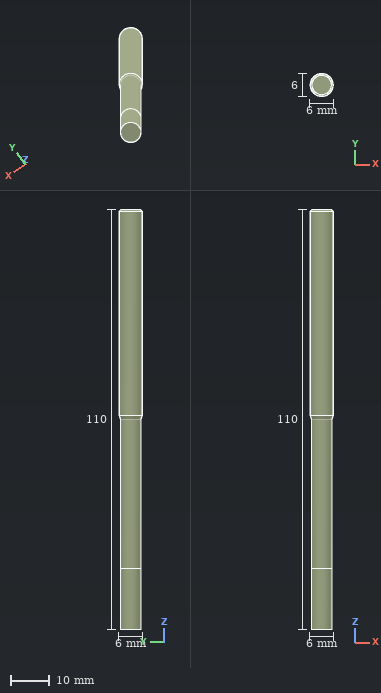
import cadquery as cq

total_length = 110.0
shank_diameter = 6.0
neck_diameter = 5.4
tip_diameter = 5.4
shank_base_z = 55.0
tip_length = 16.1
top_chamfer = 0.5
base_taper_height = 1.0

shank_radius = shank_diameter / 2
neck_radius = neck_diameter / 2
shank_top_radius = shank_radius - top_chamfer


def make_holder():
    """Stepped round bar: a neck below a thicker shank, joined by a short taper, with a chamfered top."""
    half_profile = (
        cq.Workplane("XZ")
        .moveTo(0, tip_length)
        .lineTo(neck_radius, tip_length)
        .lineTo(neck_radius, shank_base_z)
        .lineTo(shank_radius, shank_base_z + base_taper_height)
        .lineTo(shank_radius, total_length - top_chamfer)
        .lineTo(shank_top_radius, total_length)
        .lineTo(0, total_length)
        .close()
    )
    return half_profile.revolve(360, (0, 0, 0), (0, 1, 0))


def make_tip():
    """Plain round tip butted against the lower end of the holder."""
    return cq.Workplane("XY").circle(tip_diameter / 2).extrude(tip_length)


holder = make_holder()
tip = make_tip()

result = cq.Compound.makeCompound([holder.val(), tip.val()])